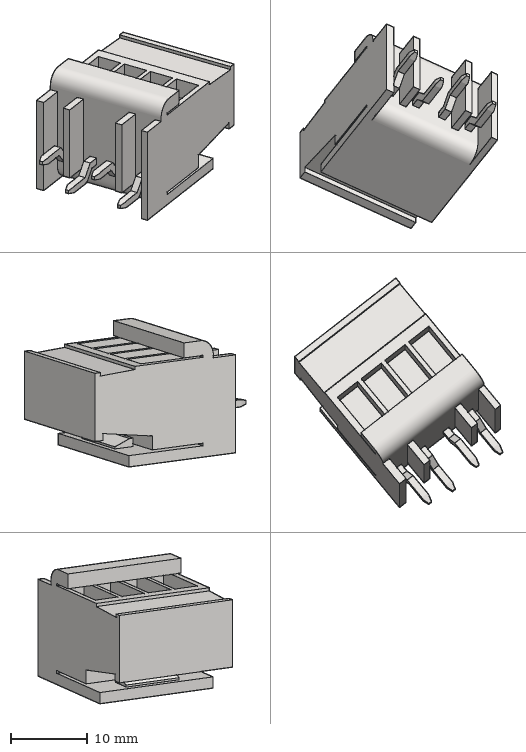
import cadquery as cq


width = 17.04
height = 15.7
back_y = 22.05
wall_y = 3.5

pole_count = 4
first_pole_x = 2.62
last_pole_x = 14.61
pole_pitch = (last_pole_x - first_pole_x) / (pole_count - 1)
pole_xs = [first_pole_x + i * pole_pitch for i in range(pole_count)]

edge_radius = 2.02
slot_end_y = 5.1
body_top_z = 13.43
step_y = 15.8
recess_front_z = 13.0
recess_back_z = 12.75
upper_lip_front_y = 21.18
upper_lip_top_z = 13.2

hook_end_y = 8.1
hook_bottom_z = 13.68

tongue_end_y = 16.75
tongue_top_z = 1.55
slot_top_z = 1.9
body_step_y = 13.07
slope_front_z = 3.75
slope_back_z = 4.97
lower_lip_front_y = 20.82
lower_lip_bottom_z = 4.05

ridge_end_y = 15.93
ridge_end_z = 1.82
ridge_flat_y = 13.63
ridge_top_z = 2.68

foot_top_z = 13.18
foot_thickness = 0.98
inner_foot_bottom_z = 3.0
foot_root_y = wall_y + edge_radius

pocket_width = 3.38
pocket_depth = 2.68
pocket_back_y = 14.2
pocket_front_y = slot_end_y

pin_size = 0.98
pin_tip_size = 0.48
pin_root_z = 4.45
pin_jog_z = 1.6
jog_start_y = 2.32
jog_end_y = 1.03
bend_shift = 0.43
flat_taper_y = -2.07
side_taper_y = -2.32
pin_tip_y = -3.18


def box(x0, x1, y0, y1, z0, z1):
    """Box between two opposite corners."""
    return cq.Workplane("XY").box(x1 - x0, y1 - y0, z1 - z0, centered=False).translate((x0, y0, z0))


def make_body():
    """Side profile with hook, tongue and stepped back, extruded over the full width."""
    diagonal = edge_radius * 0.5 ** 0.5
    arc_y = wall_y + edge_radius
    upper_arc_z = height - edge_radius
    lower_arc_z = edge_radius
    return (
        cq.Workplane("YZ")
        .moveTo(wall_y, lower_arc_z)
        .lineTo(wall_y, upper_arc_z)
        .threePointArc((arc_y - diagonal, upper_arc_z + diagonal), (arc_y, height))
        .lineTo(hook_end_y, height)
        .lineTo(hook_end_y, hook_bottom_z)
        .lineTo(slot_end_y, hook_bottom_z)
        .lineTo(slot_end_y, body_top_z)
        .lineTo(step_y, body_top_z)
        .lineTo(step_y, recess_front_z)
        .lineTo(upper_lip_front_y, recess_back_z)
        .lineTo(upper_lip_front_y, upper_lip_top_z)
        .lineTo(back_y, upper_lip_top_z)
        .lineTo(back_y, lower_lip_bottom_z)
        .lineTo(lower_lip_front_y, lower_lip_bottom_z)
        .lineTo(lower_lip_front_y, slope_back_z)
        .lineTo(body_step_y, slope_front_z)
        .lineTo(body_step_y, tongue_top_z)
        .lineTo(tongue_end_y, tongue_top_z)
        .lineTo(tongue_end_y, 0)
        .lineTo(arc_y, 0)
        .threePointArc((arc_y - diagonal, lower_arc_z - diagonal), (wall_y, lower_arc_z))
        .close()
        .extrude(width)
    )


def make_feet():
    """Two side feet down to the underside and two shorter feet halfway between poles."""
    half = foot_thickness / 2
    left_inner_x = first_pole_x - pole_pitch / 2 + half
    right_inner_x = last_pole_x + pole_pitch / 2 - half
    feet = box(0, left_inner_x, 0, foot_root_y, 0, foot_top_z)
    feet = feet.union(box(right_inner_x, width, 0, foot_root_y, 0, foot_top_z))
    for x in inner_foot_xs():
        feet = feet.union(box(x - half, x + half, 0, foot_root_y, inner_foot_bottom_z, foot_top_z))
    return feet


def inner_foot_xs():
    """Centres of the inner feet, after the first and the third pole."""
    return [x + pole_pitch / 2 for x in pole_xs[::2]]


def make_latch_ridge():
    """Ramped ridge on the tongue, as long as the distance between the inner feet."""
    left_x, right_x = inner_foot_xs()
    return (
        cq.Workplane("YZ", origin=(left_x, 0, 0))
        .moveTo(body_step_y, tongue_top_z)
        .lineTo(ridge_end_y, tongue_top_z)
        .lineTo(ridge_end_y, ridge_end_z)
        .lineTo(ridge_flat_y, ridge_top_z)
        .lineTo(body_step_y, ridge_top_z)
        .close()
        .extrude(right_x - left_x)
    )


def make_housing():
    """Body with feet and latch ridge, the slot above the tongue and one top pocket per pole."""
    housing = make_body().union(make_feet()).union(make_latch_ridge())
    housing = housing.cut(box(0, width, slot_end_y, body_step_y, tongue_top_z, slot_top_z))
    half = pocket_width / 2
    floor_z = body_top_z - pocket_depth
    for x in pole_xs:
        housing = housing.cut(box(x - half, x + half, pocket_front_y, pocket_back_y, floor_z, body_top_z))
    return housing


def make_pin(x, direction):
    """Square pin that leaves the front wall and jogs up (direction 1) or down (-1) to its tapered tip."""
    half = pin_size / 2
    tip_half = pin_tip_size / 2
    jog = direction * pin_jog_z
    outer = direction * half
    tip_outer = direction * tip_half
    side_outline = (
        cq.Workplane("YZ", origin=(x - half, 0, pin_root_z))
        .moveTo(wall_y, outer)
        .lineTo(jog_start_y, outer)
        .lineTo(jog_end_y, jog + outer)
        .lineTo(flat_taper_y, jog + outer)
        .lineTo(pin_tip_y, jog + tip_outer)
        .lineTo(pin_tip_y, jog - tip_outer)
        .lineTo(flat_taper_y, jog - outer)
        .lineTo(jog_end_y - bend_shift, jog - outer)
        .lineTo(jog_start_y - bend_shift, -outer)
        .lineTo(wall_y, -outer)
        .close()
        .extrude(pin_size)
    )
    plan_outline = (
        cq.Workplane("XY", origin=(x, 0, 0))
        .moveTo(-half, wall_y)
        .lineTo(half, wall_y)
        .lineTo(half, side_taper_y)
        .lineTo(tip_half, pin_tip_y)
        .lineTo(-tip_half, pin_tip_y)
        .lineTo(-half, side_taper_y)
        .close()
        .extrude(height)
    )
    return side_outline.intersect(plan_outline)


housing = make_housing()

pins = [make_pin(x, 1 if i % 2 == 0 else -1) for i, x in enumerate(pole_xs)]

result = cq.Compound.makeCompound([housing.val(), *[pin.val() for pin in pins]])